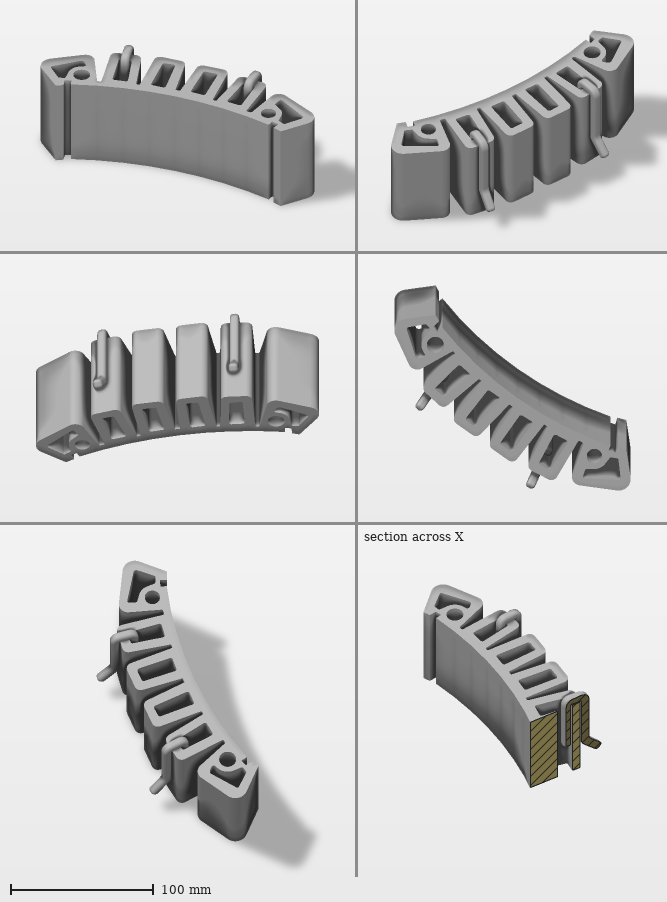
import cadquery as cq
import math

HOUSING_HEIGHT = 65.2
INNER_SLOT_ROUND = 0.6
END_SLOT_ROUND = 1.2
RIB_ROUND = 4.5
WINDOW_ROUND = 1.6
END_TIP_ROUND = 8.5
END_SHOULDER_ROUND = 6.5

ARC_LEFT = (-73.5, 4.8)
ARC_CROWN = (0, 15.1)
ARC_RIGHT = (73.1, 4.6)

LEFT_HOLE_CENTER = (-69.9, 18.0)
LEFT_HOLE_DIAMETER = 12.0
RIGHT_HOLE_CENTER = (68.7, 17.4)
RIGHT_HOLE_DIAMETER = 10.7
HOLE_WALL = 4.0
LEFT_WALL_RADIUS = LEFT_HOLE_DIAMETER / 2 + HOLE_WALL
RIGHT_WALL_RADIUS = RIGHT_HOLE_DIAMETER / 2 + HOLE_WALL

HOUSING_OUTLINE = [
    (-83.0, 0, 0),
    (-106.5, 23.5, END_TIP_ROUND),
    (-69.9, 44.2, END_SHOULDER_ROUND),
    (-57.4, 14.5, END_SLOT_ROUND),
    (-54.3, 14.5, END_SLOT_ROUND),
    (-58.8, 49.9, RIB_ROUND),
    (-37.2, 52.7, RIB_ROUND),
    (-30.3, 20.0, INNER_SLOT_ROUND),
    (-27.7, 20.0, INNER_SLOT_ROUND),
    (-27.7, 56.0, RIB_ROUND),
    (-5.5, 56.0, RIB_ROUND),
    (-2.0, 22.5, 0),
    (1.5, 22.5, 0),
    (4.0, 56.0, RIB_ROUND),
    (26.5, 56.0, RIB_ROUND),
    (26.5, 19.5, INNER_SLOT_ROUND),
    (29.3, 19.5, INNER_SLOT_ROUND),
    (35.5, 53.0, RIB_ROUND),
    (57.4, 49.9, RIB_ROUND),
    (53.0, 14.7, END_SLOT_ROUND),
    (57.0, 14.3, END_SLOT_ROUND),
    (66.5, 44.6, END_SHOULDER_ROUND),
    (106.5, 23.0, END_TIP_ROUND),
    (83.6, 0, 0),
    (77.5, 2.5, 0),
    (79.4, 7.3, 0),
    (74.3, 8.9, 0),
    (*ARC_RIGHT, 0),
    (*ARC_LEFT, 0),
    (-74.5, 9.5, 0),
    (-79.0, 7.9, 0),
    (-78.2, 2.5, 0),
]

RIB_WINDOWS = [
    [(-51.0, 44.5), (-41.8, 44.8), (-36.8, 20.8), (-47.9, 19.5)],
    [(-20.5, 49.5), (-11.3, 50.0), (-9.5, 22.5), (-20.5, 22.5)],
    [(9.9, 49.5), (20.5, 49.5), (19.5, 23.0), (8.7, 23.6)],
    [(40.5, 45.2), (49.7, 44.5), (47.5, 19.5), (36.4, 21.0)],
]

LEFT_END_WINDOW = [
    (-94.0, 20.0, 1.5),
    (-74.5, 34.1, 2.5),
    (-69.5, 28.9, 1.6),
    (LEFT_HOLE_CENTER[0] - LEFT_WALL_RADIUS, 24.5, LEFT_WALL_RADIUS),
    (-79.5, 10.5, 1.6),
    (-84.5, 9.7, 0.8),
]
RIGHT_END_WINDOW = [
    (94.1, 20.6, 2.0),
    (71.7, 35.5, 1.2),
    (69.3, 28.9, 1.2),
    (RIGHT_HOLE_CENTER[0] + RIGHT_WALL_RADIUS, 22.2, RIGHT_WALL_RADIUS),
    (78.2, 11.3, 0.8),
    (83.2, 8.9, 1.2),
]

HOOK_THICKNESS = 6.3
HOOK_EDGE_ROUND = 2.2
HOOK_OUTER_BEND = 6.7
HOOK_INNER_BEND = 0.2
HOOK_KINK_BEND = 5.0
HOOK_TILT = 6.3
HOOK_OFFSET = 47.0
HOOK_PIVOT_Y = 53.0
HOOK_FRONT_Y = 38.0
HOOK_BACK_Y = 58.2
KINK_Z = 25.0
TAIL_RUN = 11.5
TAIL_ANGLE = math.radians(45)
HOOK_TOP_Z = HOUSING_HEIGHT + HOOK_THICKNESS


def rounded_polygon(workplane, corners):
    """Closed outline through (x, y, radius) corners, each rounded by an arc tangent to both sides."""
    stretches = []
    for index, (x, y, radius) in enumerate(corners):
        corner = cq.Vector(x, y)
        before = cq.Vector(*corners[index - 1][:2]) - corner
        after = cq.Vector(*corners[(index + 1) % len(corners)][:2]) - corner
        half_angle = before.getAngle(after) / 2
        setback = radius / math.tan(half_angle)
        bisector = (before.normalized() + after.normalized()).normalized()
        arc_distance = radius / math.sin(half_angle) - radius
        start = corner + before.normalized() * setback
        middle = corner + bisector * arc_distance
        end = corner + after.normalized() * setback
        stretches.append((radius, start, middle, end))

    outline = workplane.moveTo(*stretches[0][3].toTuple()[:2])
    for radius, start, middle, end in stretches[1:] + stretches[:1]:
        outline = outline.lineTo(*start.toTuple()[:2])
        if radius > 0:
            outline = outline.threePointArc(middle.toTuple()[:2], end.toTuple()[:2])
    return outline.close()


def make_housing():
    """Curved housing with four hollow ribs and a windowed block at each end."""
    body = rounded_polygon(cq.Workplane("XY"), HOUSING_OUTLINE).extrude(HOUSING_HEIGHT)

    concave_front = (
        cq.Workplane("XY").moveTo(*ARC_LEFT).threePointArc(ARC_CROWN, ARC_RIGHT).close()
        .extrude(HOUSING_HEIGHT)
    )
    body = body.cut(concave_front)

    for corners in RIB_WINDOWS:
        rounded_corners = [(x, y, WINDOW_ROUND) for x, y in corners]
        body = body.cut(rounded_polygon(cq.Workplane("XY"), rounded_corners).extrude(HOUSING_HEIGHT))
    for corners in (LEFT_END_WINDOW, RIGHT_END_WINDOW):
        body = body.cut(rounded_polygon(cq.Workplane("XY"), corners).extrude(HOUSING_HEIGHT))

    holes = (
        (LEFT_HOLE_CENTER, LEFT_HOLE_DIAMETER),
        (RIGHT_HOLE_CENTER, RIGHT_HOLE_DIAMETER),
    )
    for center, diameter in holes:
        bolt_hole = cq.Workplane("XY").center(*center).circle(diameter / 2).extrude(HOUSING_HEIGHT)
        body = body.cut(bolt_hole)
    return body


def make_hook(side):
    """Bent bar hung over an outer rib; side is -1 for the left rib and 1 for the right one."""
    half = HOOK_THICKNESS / 2
    leg_center_y = HOOK_BACK_Y - half
    kink_shift = half * math.tan(TAIL_ANGLE / 2)
    tail_y = leg_center_y + TAIL_RUN
    tail_z = KINK_Z - TAIL_RUN / math.tan(TAIL_ANGLE)
    tail_half_y = half * math.cos(TAIL_ANGLE)
    tail_half_z = half * math.sin(TAIL_ANGLE)
    inner_front_y = HOOK_FRONT_Y + HOOK_THICKNESS
    inner_back_y = HOOK_BACK_Y - HOOK_THICKNESS
    profile = [
        (HOOK_FRONT_Y, KINK_Z, 0),
        (HOOK_FRONT_Y, HOOK_TOP_Z, HOOK_OUTER_BEND),
        (HOOK_BACK_Y, HOOK_TOP_Z, HOOK_OUTER_BEND),
        (HOOK_BACK_Y, KINK_Z + kink_shift, HOOK_KINK_BEND),
        (tail_y + tail_half_y, tail_z + tail_half_z, 0),
        (tail_y - tail_half_y, tail_z - tail_half_z, 0),
        (inner_back_y, KINK_Z - kink_shift, HOOK_KINK_BEND),
        (inner_back_y, HOUSING_HEIGHT, HOOK_INNER_BEND),
        (inner_front_y, HOUSING_HEIGHT, HOOK_INNER_BEND),
        (inner_front_y, KINK_Z, 0),
    ]
    bar = rounded_polygon(cq.Workplane("YZ"), profile).extrude(half, both=True)
    bar = bar.edges().fillet(HOOK_EDGE_ROUND)
    pivot = (0, HOOK_PIVOT_Y, 0)
    pivot_top = (0, HOOK_PIVOT_Y, 1)
    return bar.rotate(pivot, pivot_top, -side * HOOK_TILT).translate((side * HOOK_OFFSET, 0, 0))


housing = make_housing()
hooks = [make_hook(side) for side in (-1, 1)]
result = cq.Compound.makeCompound([housing.val(), *[hook.val() for hook in hooks]])